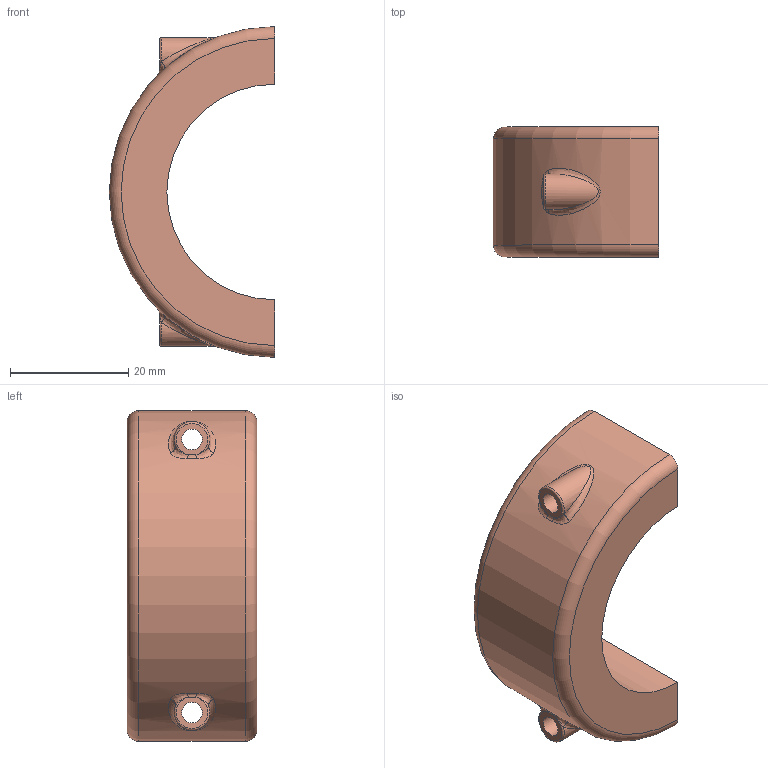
import cadquery as cq

outer_radius = 28.0
bore_radius = 18.25
width = 22.0
rim_fillet = 2.0

screw_hole_diameter = 3.5
boss_diameter = 6.0
boss_offset = (bore_radius + outer_radius) / 2
boss_end_x = -19.5
boss_end_fillet = 0.3
boss_base_fillet = 1.0


def x_cylinder(diameter, x_start):
    """Cylinder along X on the upper boss axis, from x_start to the split plane."""
    return cq.Workplane("YZ", origin=(x_start, 0, boss_offset)).circle(diameter / 2).extrude(-x_start)


def make_bore():
    return cq.Workplane("XZ").circle(bore_radius).extrude(width, both=True)


def make_half_ring():
    """Ring with rounded outer rims, cut down to its -X half."""
    disc = cq.Workplane("XZ").circle(outer_radius).extrude(width / 2, both=True)
    disc = disc.edges().fillet(rim_fillet)
    left_half = cq.Workplane("XY").box(
        outer_radius, width, 2 * outer_radius, centered=(False, True, True)
    ).translate((-outer_radius, 0, 0))
    return disc.cut(make_bore()).intersect(left_half)


def add_upper_boss(body):
    """Fuse a round-ended boss to the ring, blend its base and drill it through."""
    boss = x_cylinder(boss_diameter, boss_end_x).faces("<X").edges().fillet(boss_end_fillet)
    blended = body.union(boss.cut(make_bore()))
    reach = boss_diameter / 2
    base_curve = cq.selectors.BoxSelector(
        (boss_end_x + 2 * boss_end_fillet, -reach, boss_offset - reach),
        (-reach, reach, boss_offset + reach),
    )
    blended = blended.edges(base_curve).fillet(boss_base_fillet)
    return blended.cut(x_cylinder(screw_hole_diameter, -outer_radius))


def keep_upper_half(body):
    upper = cq.Workplane("XY").box(
        2 * outer_radius, width, outer_radius, centered=(True, True, False)
    )
    return body.intersect(upper)


upper_half = keep_upper_half(add_upper_boss(make_half_ring()))
result = upper_half.union(upper_half.mirror("XY")).clean()